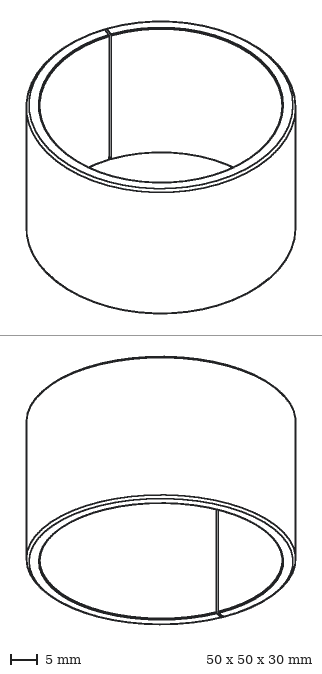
import cadquery as cq
import math

outer_diameter = 50.0
wall_thickness = 2.5
length = 30.0
outer_chamfer = 0.5
inner_chamfer = 0.2
split_angle = 1.0

outer_radius = outer_diameter / 2
inner_radius = outer_radius - wall_thickness
half_length = length / 2


def sleeve():
    """Full ring revolved from the wall section, with chamfered outer and inner rims."""
    wall_section = [
        (inner_radius + inner_chamfer, -half_length),
        (outer_radius - outer_chamfer, -half_length),
        (outer_radius, -half_length + outer_chamfer),
        (outer_radius, half_length - outer_chamfer),
        (outer_radius - outer_chamfer, half_length),
        (inner_radius + inner_chamfer, half_length),
        (inner_radius, half_length - inner_chamfer),
        (inner_radius, -half_length + inner_chamfer),
    ]
    return cq.Workplane("XZ").polyline(wall_section).close().revolve(360, (0, 0), (0, 1))


def split():
    """Thin wedge from the axis through the -X wall, with one face on the XZ plane."""
    reach = outer_diameter
    wedge_corners = [
        (0, 0),
        (-reach, 0),
        (-reach, reach * math.tan(math.radians(split_angle))),
    ]
    return cq.Workplane("XY").polyline(wedge_corners).close().extrude(length, both=True)


result = sleeve().cut(split())